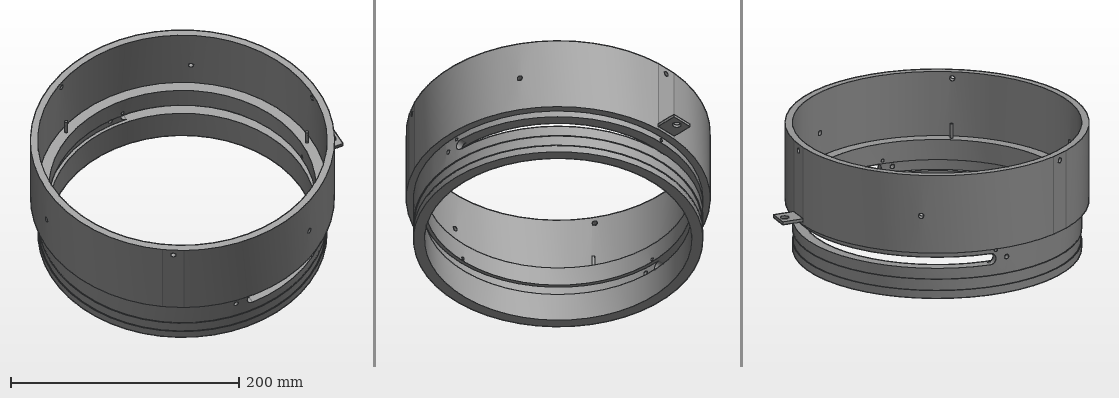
import cadquery as cq
import math

OVERALL_LENGTH = 285.8

SLEEVE_RADIUS = 266.5 / 2
JOINT_RADIUS = 127.0
BORE_RADIUS = 117.2

TOTAL_HEIGHT = 117.5
SLEEVE_BOTTOM = 45.0
LEDGE_HEIGHT = 57.5

GROOVE_RADIUS = 126.0
GROOVE_BOTTOM = 7.5
GROOVE_TOP = 18.0

SLOT_BOTTOM = 28.3
SLOT_HEIGHT = 10.3
SLOT_MIDDLE = SLOT_BOTTOM + SLOT_HEIGHT / 2
SLOT_END_RADIUS = SLOT_HEIGHT / 2
CHANNEL_RADIUS = 120.3

VENT_DIAMETER = 3.0
VENT_HEIGHT = 41.5
VENT_ANGLES = (0, 90, 180, 270)
STOP_HOLE_DIAMETER = 4.0
STOP_HOLE_Y = -10.5

FLAT_WIDTH = 19.0
FLAT_DISTANCE = math.sqrt(SLEEVE_RADIUS**2 - (FLAT_WIDTH / 2) ** 2)
SCREW_DIAMETER = 4.5
UPPER_SCREW_DROP = 6.3
UPPER_SCREW_HEIGHT = TOTAL_HEIGHT - UPPER_SCREW_DROP
UPPER_SCREW_ANGLES = (90, 210, 330)
LOWER_SCREW_HEIGHT = 79.5
LOWER_SCREW_ANGLES = (30, 150, 270)

LUG_WIDTH = 20.0
LUG_THICKNESS = 3.0
LUG_BOTTOM = 48.0
LUG_TIP_Y = OVERALL_LENGTH - SLEEVE_RADIUS
LUG_HOLE_DIAMETER = 7.5
LUG_HOLE_EDGE = 6.3

PIN_DIAMETER = 2.5
PIN_HEIGHT = 13.1
PIN_ANGLES = (90, 210, 330)
PIN_CIRCLE_RADIUS = (BORE_RADIUS + JOINT_RADIUS) / 2


def tube(outer_radius, inner_radius, bottom, top):
    """Upright ring between two heights."""
    return (
        cq.Workplane("XY")
        .workplane(offset=bottom)
        .circle(outer_radius)
        .circle(inner_radius)
        .extrude(top - bottom)
    )


def radial_drill(diameter, height, angle):
    """Cylinder running outward from the axis at the given angle."""
    return (
        cq.Workplane("YZ")
        .center(0, height)
        .circle(diameter / 2)
        .extrude(OVERALL_LENGTH)
        .rotate((0, 0, 0), (0, 0, 1), angle)
    )


def slot_cutter():
    """Round-ended cutter that covers the whole +Y half of the ring."""
    reach = 2 * SLEEVE_RADIUS
    straight = cq.Workplane("XY").box(reach, SLEEVE_RADIUS, SLOT_HEIGHT, centered=(True, False, False))
    straight = straight.translate((0, SLOT_END_RADIUS, SLOT_BOTTOM))
    rounded_end = (
        cq.Workplane("YZ")
        .center(SLOT_END_RADIUS, SLOT_MIDDLE)
        .circle(SLOT_END_RADIUS)
        .extrude(reach / 2, both=True)
    )
    return straight.union(rounded_end)


def make_base_ring():
    ring = tube(JOINT_RADIUS, BORE_RADIUS, 0, LEDGE_HEIGHT)
    ring = ring.cut(tube(SLEEVE_RADIUS, GROOVE_RADIUS, GROOVE_BOTTOM, GROOVE_TOP))
    ring = ring.cut(tube(CHANNEL_RADIUS, BORE_RADIUS, SLOT_BOTTOM, SLOT_BOTTOM + SLOT_HEIGHT))
    ring = ring.cut(slot_cutter())
    for angle in VENT_ANGLES:
        ring = ring.cut(radial_drill(VENT_DIAMETER, VENT_HEIGHT, angle))
    stop_hole = (
        cq.Workplane("YZ")
        .center(STOP_HOLE_Y, SLOT_MIDDLE)
        .circle(STOP_HOLE_DIAMETER / 2)
        .extrude(SLEEVE_RADIUS, both=True)
    )
    return ring.cut(stop_hole)


def make_lug():
    """Flat lug starting inside the sleeve wall, with a hole near its tip."""
    length = LUG_TIP_Y - JOINT_RADIUS
    lug = cq.Workplane("XY").box(LUG_WIDTH, length, LUG_THICKNESS, centered=(True, False, False))
    lug = lug.translate((0, JOINT_RADIUS, LUG_BOTTOM))
    hole = (
        cq.Workplane("XY")
        .center(0, LUG_TIP_Y - LUG_HOLE_EDGE)
        .circle(LUG_HOLE_DIAMETER / 2)
        .extrude(TOTAL_HEIGHT)
    )
    bore = cq.Workplane("XY").circle(JOINT_RADIUS).extrude(TOTAL_HEIGHT)
    return lug.cut(hole).cut(bore)


def make_sleeve():
    sleeve = tube(SLEEVE_RADIUS, JOINT_RADIUS, SLEEVE_BOTTOM, TOTAL_HEIGHT)
    outside_flat = cq.Workplane("XY").box(
        SLEEVE_RADIUS, SLEEVE_RADIUS, TOTAL_HEIGHT, centered=(False, True, False)
    ).translate((FLAT_DISTANCE, 0, 0))
    for angle in UPPER_SCREW_ANGLES:
        sleeve = sleeve.cut(outside_flat.rotate((0, 0, 0), (0, 0, 1), angle))
        sleeve = sleeve.cut(radial_drill(SCREW_DIAMETER, UPPER_SCREW_HEIGHT, angle))
    for angle in LOWER_SCREW_ANGLES:
        sleeve = sleeve.cut(radial_drill(SCREW_DIAMETER, LOWER_SCREW_HEIGHT, angle))
    return sleeve.union(make_lug())


def make_pin(angle):
    x = PIN_CIRCLE_RADIUS * math.cos(math.radians(angle))
    y = PIN_CIRCLE_RADIUS * math.sin(math.radians(angle))
    return (
        cq.Workplane("XY")
        .workplane(offset=LEDGE_HEIGHT)
        .center(x, y)
        .circle(PIN_DIAMETER / 2)
        .extrude(PIN_HEIGHT)
    )


base_ring = make_base_ring()
sleeve = make_sleeve()
pins = [make_pin(angle) for angle in PIN_ANGLES]

result = cq.Compound.makeCompound([base_ring.val(), sleeve.val(), *[pin.val() for pin in pins]])